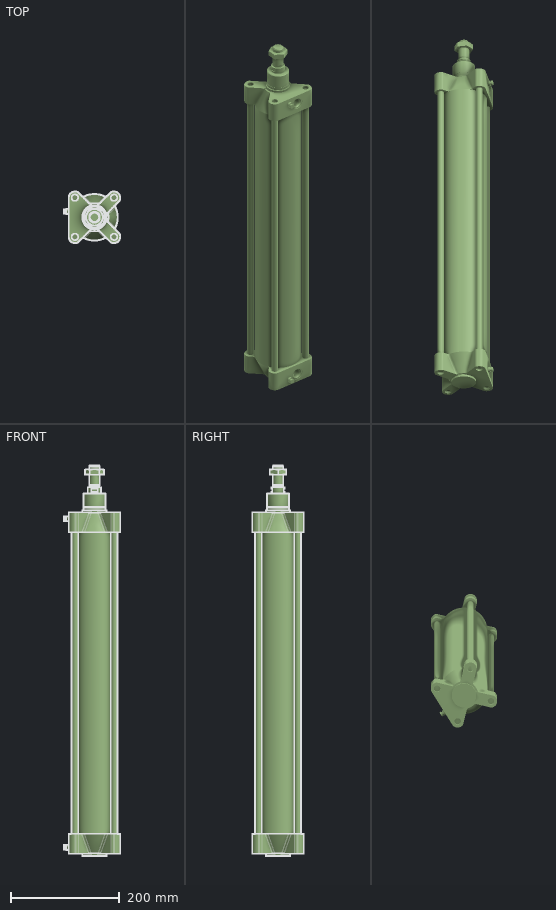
import cadquery as cq
import math


rod_projection = 86.0
overall_length = 718.0
head_height = 37.0
spigot_height = 4.0
body_length = overall_length - rod_projection - spigot_height

tie_spacing = 72.0
tie_offset = tie_spacing / 2
lobe_radius = 11.5
extent = tie_offset + lobe_radius
lobe_flat = 1.8
shoulder_radius = 6.5
arm_angle = 45.0
pocket_count = 3
tie_rod_diameter = 12.0
tie_socket_diameter = tie_rod_diameter
tie_socket_depth = 5.0
tube_diameter = 86.0
cone_small_radius = 26.0
ledge_depth = 0.8
cone_fillet = 4.0
spigot_diameter = 45.0

port_y = -8.0
port_depth_below_face = 17.0
spot_face_diameter = 23.0
spot_face_depth = 1.0
countersink_diameter = 18.5
port_diameter = 14.9
port_depth = 14.0
screw_y = 10.7
screw_depth_below_face = 12.0
screw_tip = 56.5
screw_flange_diameter = 10.0
screw_flange_length = 4.0
screw_neck_diameter = 6.0
screw_neck_length = 2.5
screw_head_diameter = 8.9

nose_diameter = 41.0
nose_top = 35.0
nose_chamfer = 1.0
nose_groove_diameter = 40.0
nose_groove_bottom = 8.5
nose_groove_width = 2.0

rod_diameter = 25.0
rod_bore_bottom = -head_height
thread_diameter = 20.0
thread_length = 40.0
thread_tip_diameter = 17.0
thread_tip_length = 2.0
relief_diameter = 18.5
relief_length = 4.5
runout_length = 2.0
flat_width = 22.0
flat_clearance = 2.5
flat_bottom = nose_top + flat_clearance
flat_length = 6.0

nut_sides = 6
nut_across_flats = 30.5
nut_height = 10.0
nut_setback = 7.0
nut_top = rod_projection - nut_setback
nut_chamfer_angle = 30.0


def cylinder(diameter, bottom, height):
    return cq.Workplane("XY").workplane(offset=bottom).circle(diameter / 2).extrude(height)


def side_cylinder(diameter, y, z, outer, length):
    """Cylinder along X whose outer end is at X = -outer and which runs inwards."""
    plane = cq.Plane(origin=(-outer, y, z), xDir=(0, 1, 0), normal=(1, 0, 0))
    return cq.Workplane(plane).circle(diameter / 2).extrude(length)


def on_side(side, along, out):
    """Point (along, out) of the +Y side, turned clockwise by `side` quarter turns."""
    for _ in range(side):
        along, out = out, -along
    return along, out


def head_outline():
    """Lobes at the four tie rods joined by arms, with a flat plate closing the -X side."""
    shoulder_start = tie_offset - lobe_flat
    shoulder_centre = extent - shoulder_radius
    half_turn = math.radians(arm_angle / 2)
    turn = math.radians(arm_angle)
    mid = (
        shoulder_start - shoulder_radius * math.sin(half_turn),
        shoulder_centre + shoulder_radius * math.cos(half_turn),
    )
    wall = (
        shoulder_start - shoulder_radius * math.sin(turn),
        shoulder_centre + shoulder_radius * math.cos(turn),
    )
    notch = wall[1] - wall[0]
    corner_mid = tie_offset + lobe_radius * math.cos(turn)

    outline = cq.Workplane("XY").workplane(offset=-head_height).moveTo(-extent, tie_offset)
    for side in range(4):
        outline = outline.threePointArc(
            on_side(side, -corner_mid, corner_mid), on_side(side, -tie_offset, extent)
        )
        if side < pocket_count:
            outline = (
                outline.lineTo(*on_side(side, -shoulder_start, extent))
                .threePointArc(on_side(side, -mid[0], mid[1]), on_side(side, -wall[0], wall[1]))
                .lineTo(*on_side(side, 0, notch))
                .lineTo(*on_side(side, *wall))
                .threePointArc(on_side(side, *mid), on_side(side, shoulder_start, extent))
                .lineTo(*on_side(side, tie_offset, extent))
            )
    return outline.close()


def pocket_floor():
    """Cone that widens to the tube, with a small ledge below the spigot."""
    return (
        cq.Workplane("XZ")
        .polyline([
            (0, -head_height),
            (tube_diameter / 2, -head_height),
            (cone_small_radius, -ledge_depth),
            (spigot_diameter / 2, -ledge_depth),
            (spigot_diameter / 2, spigot_height),
            (0, spigot_height),
        ])
        .close().revolve(360, (0, 0, 0), (0, 1, 0))
    )


def head():
    """Head with its outer face at Z = 0 and its tube side at Z = -head_height."""
    block = head_outline().extrude(head_height).union(pocket_floor())
    blends = [
        edge for edge in block.edges().vals()
        if edge.geomType() not in ("LINE", "CIRCLE")
    ]
    block = block.newObject(blends).fillet(cone_fillet)
    sockets = (
        cq.Workplane("XY").rect(tie_spacing, tie_spacing, forConstruction=True).vertices()
        .circle(tie_socket_diameter / 2).extrude(-tie_socket_depth)
    )
    return block.cut(sockets).cut(port()).union(cushion_screw())


def port():
    """Threaded port: a spot face, a countersink and a blind bore."""
    z = -port_depth_below_face
    floor = extent - spot_face_depth
    countersink_radius = countersink_diameter / 2
    countersink_depth = countersink_radius - port_diameter / 2
    spot_face = side_cylinder(spot_face_diameter, port_y, z, extent, spot_face_depth)
    countersink = cq.Workplane("XY").add(cq.Solid.makeCone(
        countersink_radius, port_diameter / 2, countersink_depth,
        pnt=cq.Vector(-floor, port_y, z), dir=cq.Vector(1, 0, 0),
    ))
    bore = side_cylinder(port_diameter, port_y, z, floor, port_depth)
    return spot_face.union(countersink).union(bore)


def cushion_screw():
    z = -screw_depth_below_face
    flange_tip = extent + screw_flange_length
    neck_tip = flange_tip + screw_neck_length
    flange = side_cylinder(screw_flange_diameter, screw_y, z, flange_tip, screw_flange_length)
    neck = side_cylinder(screw_neck_diameter, screw_y, z, neck_tip, screw_neck_length)
    tip = side_cylinder(screw_head_diameter, screw_y, z, screw_tip, screw_tip - neck_tip)
    return flange.union(neck).union(tip)


def nose():
    sleeve = cylinder(nose_diameter, 0, nose_top).faces(">Z").edges().chamfer(nose_chamfer)
    groove = cylinder(nose_diameter, nose_groove_bottom, nose_groove_width).cut(
        cylinder(nose_groove_diameter, nose_groove_bottom, nose_groove_width)
    )
    return sleeve.cut(groove)


def housing_body():
    rod_head = head()
    rear_head = head().mirror("XY").translate((0, 0, -body_length))
    tube_length = body_length - 2 * head_height
    tube_bottom = head_height - body_length
    tube = cylinder(tube_diameter, tube_bottom, tube_length)
    tie_rods = (
        cq.Workplane("XY").workplane(offset=tube_bottom)
        .rect(tie_spacing, tie_spacing, forConstruction=True).vertices()
        .circle(tie_rod_diameter / 2).extrude(tube_length)
    )
    body = rod_head.union(tube).union(rear_head).union(tie_rods).union(nose())
    return body.cut(cylinder(rod_diameter, rod_bore_bottom, nose_top - rod_bore_bottom))


def piston_rod():
    shoulder = rod_projection - thread_length
    shaft = cylinder(rod_diameter, rod_bore_bottom, shoulder - rod_bore_bottom)
    flats = (
        cq.Workplane("XY").workplane(offset=flat_bottom)
        .rect(2 * rod_diameter, 2 * rod_diameter).rect(2 * rod_diameter, flat_width)
        .extrude(flat_length)
    )
    thread = (
        cq.Workplane("XZ")
        .polyline([
            (0, shoulder),
            (relief_diameter / 2, shoulder),
            (relief_diameter / 2, shoulder + relief_length - runout_length),
            (thread_diameter / 2, shoulder + relief_length),
            (thread_diameter / 2, rod_projection - thread_tip_length),
            (thread_tip_diameter / 2, rod_projection),
            (0, rod_projection),
        ])
        .close().revolve(360, (0, 0, 0), (0, 1, 0))
    )
    return shaft.cut(flats).union(thread)


def rod_nut():
    across_corners = nut_across_flats / math.cos(math.pi / nut_sides)
    hexagon = (
        cq.Workplane("XY").workplane(offset=nut_top - nut_height)
        .polygon(nut_sides, across_corners).extrude(nut_height)
    )
    corner_cut = (across_corners - nut_across_flats) / 2
    corner_drop = corner_cut * math.tan(math.radians(nut_chamfer_angle))
    rounding = (
        cylinder(across_corners, nut_top - nut_height, nut_height)
        .faces(">Z").edges().chamfer(corner_drop, corner_cut)
    )
    bore = cylinder(thread_diameter, nut_top - nut_height, nut_height)
    return hexagon.intersect(rounding).cut(bore)


housing = housing_body()
rod = piston_rod()
nut = rod_nut()

result = cq.Compound.makeCompound([housing.val(), rod.val(), nut.val()])